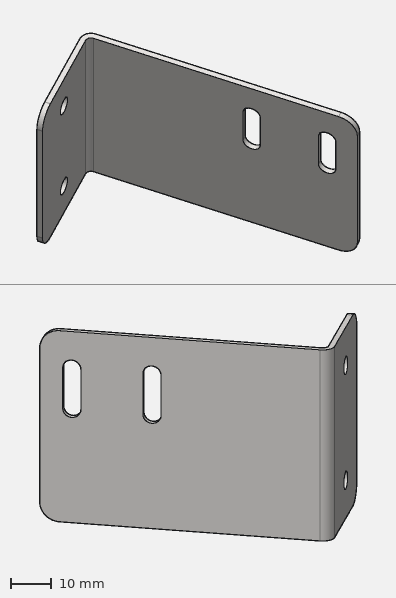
import cadquery as cq

length = 73.0
depth = 30.0
height = 50.0
thickness = 1.5
bend_outer_radius = 3.0
bend_inner_radius = bend_outer_radius - thickness
corner_radius = 5.0

slot_width = 4.5
slot_length = 15.0
slot_drop = 15.0
end_slot_inset = 8.0
slot_spacing = 20.0

hole_diameter = 4.5
hole_inset = 13.5
hole_edge_distance = 10.0


def bent_sheet():
    """L-shaped sheet with its outer bend corner at X = 0, Y = depth."""
    outer = cq.Workplane("XY").rect(length, depth, centered=False).extrude(height)
    outer = outer.edges("|Z and <X and >Y").fillet(bend_outer_radius)
    inner = (
        cq.Workplane("XY")
        .rect(length - thickness, depth - thickness, centered=False)
        .extrude(height)
        .edges("|Z and <X and >Y")
        .fillet(bend_inner_radius)
        .translate((thickness, 0, 0))
    )
    return outer.cut(inner)


def round_free_corners(sheet):
    """Round the four corners at the free ends of both legs."""
    sheet = sheet.edges("|Y and >X").fillet(corner_radius)
    return sheet.edges("|X and <Y").fillet(corner_radius)


def plate_slots():
    end_slot_x = length - end_slot_inset
    slot_z = height - slot_drop
    centres = [(x, slot_z) for x in (end_slot_x - slot_spacing, end_slot_x)]
    return (
        cq.Workplane("XZ")
        .pushPoints(centres)
        .slot2D(slot_length, slot_width, angle=90)
        .extrude(-depth)
    )


def flange_holes():
    centres = [(hole_inset, z) for z in (hole_edge_distance, height - hole_edge_distance)]
    return (
        cq.Workplane("YZ")
        .pushPoints(centres)
        .circle(hole_diameter / 2)
        .extrude(thickness)
    )


result = round_free_corners(bent_sheet()).cut(plate_slots()).cut(flange_holes())